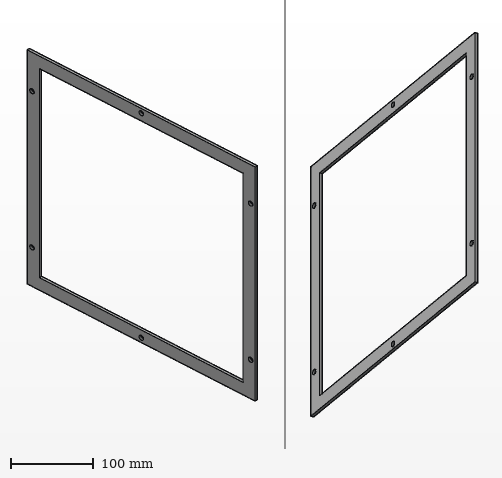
import cadquery as cq

outer_side = 359.8
opening_side = 321.0
thickness = 4.0

hole_diameter = 7.0
hole_offset = 172.5
side_hole_height = 120.0


def square_plate(side):
    """Square plate centred on the origin, with its thickness along Y."""
    return cq.Workplane("XY").box(side, thickness, side)


def mounting_holes():
    """Cylinders for one hole in each level bar and two in each upright bar."""
    centres = []
    for sign in (-1, 1):
        centres.append((0, sign * hole_offset))
        centres.append((sign * hole_offset, -side_hole_height))
        centres.append((sign * hole_offset, side_hole_height))
    return (
        cq.Workplane("XZ")
        .pushPoints(centres)
        .circle(hole_diameter / 2)
        .extrude(thickness, both=True)
    )


frame = square_plate(outer_side).cut(square_plate(opening_side))
result = frame.cut(mounting_holes())